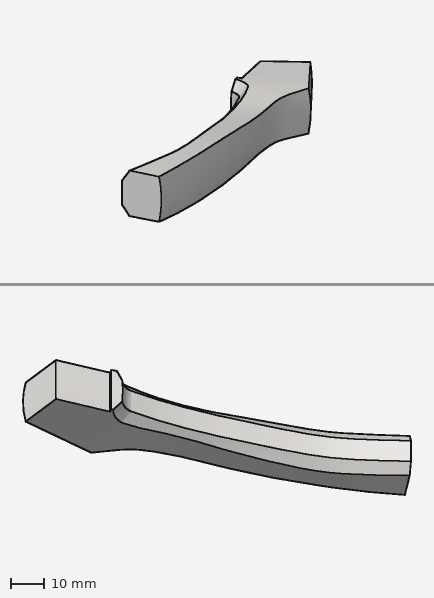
import cadquery as cq

length = 122.1
max_half_thickness = 7.51
head_half_thickness = 7.2
end_half_thickness = 7.2
neck_half_thickness = 6.1
crown_depth = 0.9
margin = 6.1

head_left = (0.1, 116.6)
head_tip = (15.4, length)
head_right = (25.5, 97.3)
head_foot = (1.5, 99.0)
tab_left = 0.0
tab_bottom = 95.4

butt_left = (3.7, 2.5)
butt_right = (17.7, 0.0)
neck_join = (4.5, 91.2)
neck_mid = (2.8, 93.8)
left_curve = [(5.9, 85.5), (8.8, 63.7), (9.6, 46.4), (9.3, 25.9), (7.3, 15.9), butt_left]
right_curve = [(22.6, 91.3), (20.9, 86.7), (20.3, 79.4), (21.0, 58.2), (21.0, 36.5), (20.3, 21.5), butt_right]

wall_top = 3.5
wall_bottom = 4.0
bevel_top = max_half_thickness
upper_tab_rise = 1.8
lower_tab_rise = 3.0
bevel_run = 2.9
neck_bevel_run = 3.7

butt_slope = (butt_right[1] - butt_left[1]) / (butt_right[0] - butt_left[0])


def plan_wire(z, inset):
    """Plan outline at height z, with the crowned edges moved inward by inset."""
    right_points = [(x - inset, y) for x, y in right_curve]
    right_points[-1] = (butt_right[0] - inset, butt_right[1] - inset * butt_slope)
    return (
        cq.Workplane("XY", origin=(0, 0, z))
        .moveTo(head_left[0] + inset, head_left[1] - inset / 2)
        .lineTo(head_tip[0] - inset / 3, head_tip[1] - inset)
        .lineTo(head_right[0] - inset, head_right[1])
        .spline(right_points, includeCurrent=True)
        .lineTo(*butt_left)
        .spline(left_curve[-2::-1] + [neck_join], includeCurrent=True)
        .threePointArc(neck_mid, (tab_left + inset, tab_bottom))
        .lineTo(tab_left + inset, head_foot[1] - inset / 2)
        .lineTo(head_foot[0] + inset, head_foot[1] - inset / 2)
        .close()
        .wire()
        .val()
    )


def crowned_body():
    """Full-depth blank whose sides bulge most at mid-height."""
    levels = [(-max_half_thickness, crown_depth), (0, 0), (max_half_thickness, crown_depth)]
    return cq.Workplane(cq.Solid.makeLoft([plan_wire(z, inset) for z, inset in levels]))


def thickness_envelope():
    """Side profile: flat head, thinner neck and swelling grip."""
    head_flat_end = 101.7
    stations = [
        (89.1, 6.9),
        (75.7, neck_half_thickness),
        (51.5, 7.02),
        (26.1, max_half_thickness),
        (0.0, end_half_thickness),
    ]
    lower = [(y, -half) for y, half in reversed(stations)]
    return (
        cq.Workplane("YZ", origin=(-margin, 0, 0))
        .moveTo(length + margin, head_half_thickness)
        .lineTo(head_flat_end, head_half_thickness)
        .spline(stations, includeCurrent=True)
        .lineTo(-margin, end_half_thickness)
        .lineTo(-margin, -end_half_thickness)
        .lineTo(*lower[0])
        .spline(lower[1:] + [(head_flat_end, -head_half_thickness)], includeCurrent=True)
        .lineTo(length + margin, -head_half_thickness)
        .close()
        .extrude(head_right[0] + 2 * margin)
    )


def bevel_wire(z, run, neck_run, tab_rise):
    """Boundary of the material removed beside the handle at height z."""
    runs = [neck_run, neck_run] + [run] * (len(left_curve) - 2)
    edge = [(x + shift, y) for (x, y), shift in zip(left_curve, runs)]
    end_x = edge[-1][0]
    edge[-1] = (end_x, butt_left[1] + butt_slope * (end_x - butt_left[0]))
    diagonal = 0.75
    join = (neck_join[0] + neck_run * diagonal, neck_join[1] + tab_rise * diagonal)
    middle = (neck_mid[0] + neck_run * diagonal / 2, neck_mid[1] + tab_rise)
    return (
        cq.Workplane("XY", origin=(0, 0, z))
        .moveTo(-margin, tab_bottom + tab_rise)
        .lineTo(tab_left, tab_bottom + tab_rise)
        .threePointArc(middle, join)
        .spline(edge, includeCurrent=True)
        .lineTo(end_x, -margin)
        .lineTo(-margin, -margin)
        .close()
        .wire()
        .val()
    )


def bevel_cutter(wall_z, outer_z, tab_rise):
    wall = bevel_wire(wall_z, 0, 0, 0)
    outer = bevel_wire(outer_z, bevel_run, neck_bevel_run, tab_rise)
    return cq.Workplane(cq.Solid.makeLoft([wall, outer], True))


result = crowned_body().intersect(thickness_envelope())
result = result.cut(bevel_cutter(wall_top, bevel_top, upper_tab_rise))
result = result.cut(bevel_cutter(-wall_bottom, -bevel_top, lower_tab_rise))